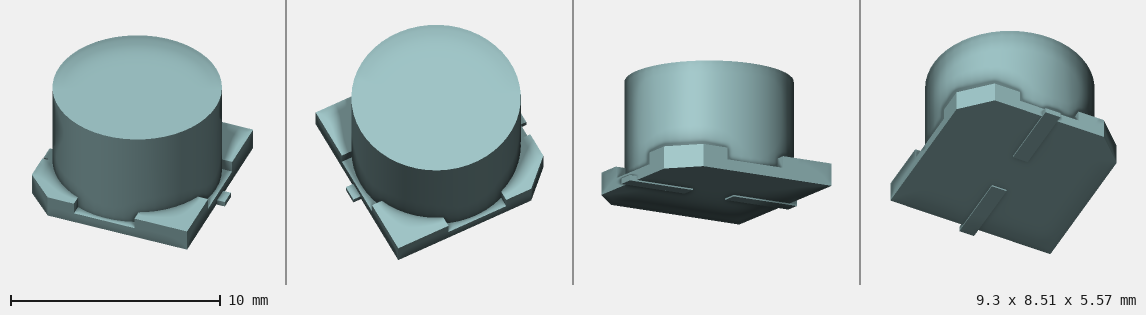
import cadquery as cq

overall_length = 9.3
overall_height = 5.57

base_width = 8.51
base_bottom = 0.07
base_top = 1.17
corner_chamfer = 1.36
notch_width = 3.11
notch_floor = 0.595

can_diameter = 8.08

lead_length = 3.52
lead_width = 0.78
lead_thickness = 0.27


def make_can():
    """Plain cylinder from the notch floor level to the top of the part."""
    return (
        cq.Workplane("XY", origin=(0, 0, notch_floor))
        .circle(can_diameter / 2)
        .extrude(overall_height - notch_floor)
    )


def make_lead(side):
    """Flat strip whose outer end is flush with the overall length; side is -1 or +1."""
    center_x = side * (overall_length - lead_length) / 2
    return (
        cq.Workplane("XY", origin=(center_x, 0, 0))
        .rect(lead_length, lead_width)
        .extrude(lead_thickness)
    )


def make_base(can, leads):
    """Square plate with two cut corners, edge notches and seats for the can and leads."""
    base = (
        cq.Workplane("XY", origin=(0, 0, base_bottom))
        .rect(base_width, base_width)
        .extrude(base_top - base_bottom)
        .edges("|Z and <X")
        .chamfer(corner_chamfer)
    )

    for length, width in [(base_width, notch_width), (notch_width, base_width)]:
        channel = (
            cq.Workplane("XY", origin=(0, 0, notch_floor))
            .rect(length, width)
            .extrude(base_top - notch_floor)
        )
        base = base.cut(channel)

    base = base.cut(can)
    for lead in leads:
        base = base.cut(lead)
    return base


can = make_can()
leads = [make_lead(side) for side in (-1, 1)]
base = make_base(can, leads)

result = cq.Compound.makeCompound([base.solids().val(), can.val(), *[lead.val() for lead in leads]])